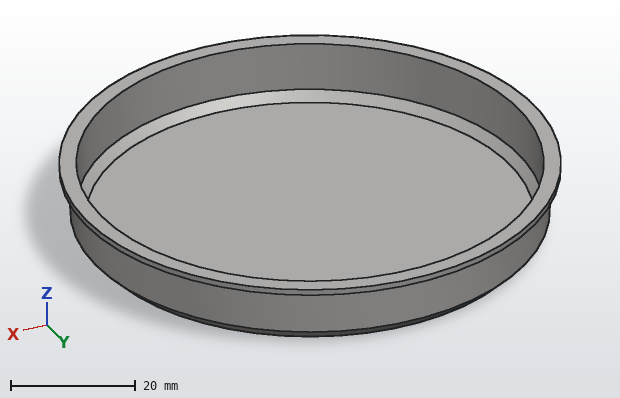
import cadquery as cq
import math

flange_diameter = 80.5
body_diameter = 77.0
total_height = 11.0
wall_thickness = 1.0
bevel_face_width = 3.0

cavity_diameter = body_diameter - 2 * wall_thickness
outer_bevel_leg = bevel_face_width / math.sqrt(2)
inner_bevel_leg = outer_bevel_leg - wall_thickness * (2 - math.sqrt(2))


def make_disc(diameter, bottom, top):
    """Plain disc centred on the Z axis, between two heights."""
    return cq.Workplane("XY").workplane(offset=bottom).circle(diameter / 2).extrude(top - bottom)


def make_body():
    """Round pan body standing on Z = 0, with a bevelled bottom edge."""
    body = make_disc(body_diameter, 0, total_height)
    return body.faces("<Z").edges().chamfer(outer_bevel_leg)


def make_flange():
    """Thin outward rim, flush with the top of the body."""
    return make_disc(flange_diameter, total_height - wall_thickness, total_height)


def make_cavity():
    """Open-topped cavity above the floor, bevelled parallel to the outside."""
    cavity = make_disc(cavity_diameter, wall_thickness, total_height)
    return cavity.faces("<Z").edges().chamfer(inner_bevel_leg)


result = make_body().union(make_flange()).cut(make_cavity())